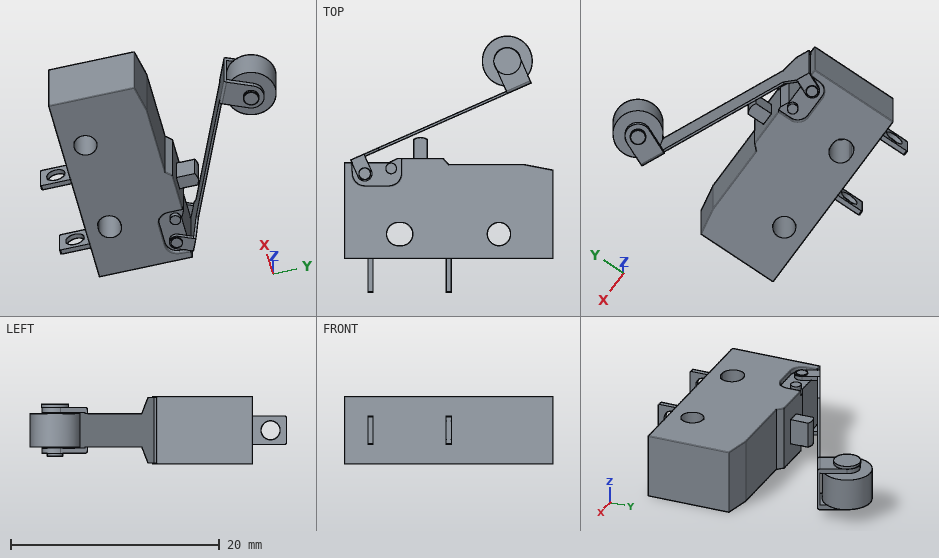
import cadquery as cq
import math

HOUSING_LENGTH = 19.99
HOUSING_DEPTH = 6.5
HOUSING_TOP_Z = HOUSING_DEPTH / 2
LEFT_SHOULDER_Y = 9.2
RAISED_Y = 9.6
RIGHT_SHOULDER_Y = 9.02
RIGHT_END_Y = 8.48
LEFT_RAMP_START_X = 4.28
RAISED_START_X = 5.1
RAISED_END_X = 9.45
RIGHT_RAMP_END_X = 10.0
RIGHT_SLOPE_START_X = 17.2
EDGE_RADIUS = 0.06

MOUNT_HOLE_DIAMETER = 2.21
MOUNT_SLOT_LENGTH = 2.5
MOUNT_HOLE_Y = 2.35
MOUNT_SLOT_X = 5.3
MOUNT_HOLE_SPACING = 9.5
MOUNT_HOLE_X = MOUNT_SLOT_X + MOUNT_HOLE_SPACING

RECESS_DEPTH = 0.5
RECESS_FLOOR_Z = HOUSING_TOP_Z - RECESS_DEPTH
RECESS_LEFT_TOP_X = 0.7
RECESS_LEFT_FLOOR_X = 0.85
RECESS_RIGHT_X = 5.47
RECESS_BOTTOM_Y = 6.97
RECESS_CORNER_RADIUS = 1.2
PIVOT_X = 1.95
PIVOT_Y = 8.13
PIVOT_POST_DIAMETER = 1.09
SPARE_POST_X = 4.48
SPARE_POST_Y = 8.63
SPARE_POST_DIAMETER = 1.02
POST_TOP_Z = HOUSING_TOP_Z

PLUNGER_X = 7.29
PLUNGER_WIDTH = 1.32
PLUNGER_DEPTH = 2.6
PLUNGER_TOP_Y = 11.6
PLUNGER_CROWN = 0.2
PLUNGER_ROOT_OVERLAP = 1.0
PLUNGER_ROOT_Y = RAISED_Y - PLUNGER_ROOT_OVERLAP

TERMINAL_XS = (2.5, 10.0)
TERMINAL_THICKNESS = 0.5
TERMINAL_WIDTH = 2.75
TERMINAL_LENGTH = 3.25
TERMINAL_CHAMFER = 0.12
TERMINAL_HOLE_DIAMETER = 1.8
TERMINAL_HOLE_Y = -1.72

ROLLER_X = 15.6
ROLLER_Y = 18.91
ROLLER_DIAMETER = 4.8
ROLLER_WIDTH = 3.2
RIVET_DIAMETER = 1.5
RIVET_HEAD_DIAMETER = 2.6
RIVET_HEAD_HEIGHT = 0.3
RIVET_TAIL_CHAMFER = 0.05

LEVER_ANGLE = 23.8
ARM_THICKNESS = 0.25
ARM_WIDTH = ROLLER_WIDTH
ARM_TOP = 1.75
ARM_BOTTOM = ARM_TOP - ARM_THICKNESS
HINGE_WIDTH = 6.3
HINGE_EAR_RADIUS = 0.7
HINGE_EAR_THICKNESS = 0.4
HINGE_HOLE_DIAMETER = 1.14
FLARE_END = 2.2
ROLLER_EAR_RADIUS = 1.25
ROLLER_EAR_THICKNESS = 0.5
ROLLER_EAR_GAP = 0.1
ROLLER_EAR_INNER_Z = ROLLER_WIDTH / 2 + ROLLER_EAR_GAP
ROLLER_EAR_OUTER_Z = ROLLER_EAR_INNER_Z + ROLLER_EAR_THICKNESS
BEND_RADIUS = 0.25


def cylinder(diameter, x, y, z_from, z_to):
    """Solid cylinder along Z between two heights."""
    disc = cq.Workplane("XY", origin=(x, y, z_from)).circle(diameter / 2)
    return disc.extrude(z_to - z_from)


def plate(outline, z_from, z_to):
    """Extrude a closed XY outline between two heights."""
    return outline.extrude(z_to - z_from).translate((0, 0, z_from))


def both_faces(shape):
    """The shape together with its mirror image about the XY mid plane."""
    return shape.union(shape.mirror("XY"))


def make_plunger():
    half_width = PLUNGER_WIDTH / 2
    shoulder_y = PLUNGER_TOP_Y - PLUNGER_CROWN
    outline = (
        cq.Workplane("XY")
        .moveTo(PLUNGER_X - half_width, PLUNGER_ROOT_Y)
        .lineTo(PLUNGER_X + half_width, PLUNGER_ROOT_Y)
        .lineTo(PLUNGER_X + half_width, shoulder_y)
        .threePointArc((PLUNGER_X, PLUNGER_TOP_Y), (PLUNGER_X - half_width, shoulder_y))
        .close()
    )
    return plate(outline, -PLUNGER_DEPTH / 2, PLUNGER_DEPTH / 2)


def make_recess():
    """Cutter for the hinge recess in the +Z face, open towards +Y."""
    open_y = RAISED_Y + RECESS_DEPTH
    outline = (
        cq.Workplane("XY")
        .moveTo(RECESS_LEFT_TOP_X, open_y)
        .lineTo(RECESS_LEFT_TOP_X, LEFT_SHOULDER_Y)
        .lineTo(RECESS_LEFT_FLOOR_X, RECESS_BOTTOM_Y)
        .lineTo(RECESS_RIGHT_X, RECESS_BOTTOM_Y)
        .lineTo(RECESS_RIGHT_X, open_y)
        .close()
    )
    cutter = plate(outline, RECESS_FLOOR_Z, HOUSING_TOP_Z)
    return cutter.edges("|Z and <Y").fillet(RECESS_CORNER_RADIUS)


def make_housing():
    outline = cq.Workplane("XY").polyline([
        (0, 0),
        (HOUSING_LENGTH, 0),
        (HOUSING_LENGTH, RIGHT_END_Y),
        (RIGHT_SLOPE_START_X, RIGHT_SHOULDER_Y),
        (RIGHT_RAMP_END_X, RIGHT_SHOULDER_Y),
        (RAISED_END_X, RAISED_Y),
        (RAISED_START_X, RAISED_Y),
        (LEFT_RAMP_START_X, LEFT_SHOULDER_Y),
        (0, LEFT_SHOULDER_Y),
    ]).close()
    body = plate(outline, -HOUSING_TOP_Z, HOUSING_TOP_Z)
    body = body.edges("|Z").edges("<X or >X").fillet(EDGE_RADIUS)
    body = body.cut(both_faces(make_recess()))
    body = body.faces("<Z or >Z").edges().fillet(EDGE_RADIUS)

    round_hole = cylinder(MOUNT_HOLE_DIAMETER, MOUNT_HOLE_X, MOUNT_HOLE_Y, -HOUSING_TOP_Z, HOUSING_TOP_Z)
    slot_outline = cq.Workplane("XY").center(MOUNT_SLOT_X, MOUNT_HOLE_Y)
    slot_outline = slot_outline.slot2D(MOUNT_SLOT_LENGTH, MOUNT_HOLE_DIAMETER)
    slot = plate(slot_outline, -HOUSING_TOP_Z, HOUSING_TOP_Z)

    pivot_post = cylinder(PIVOT_POST_DIAMETER, PIVOT_X, PIVOT_Y, RECESS_FLOOR_Z, POST_TOP_Z)
    spare_post = cylinder(SPARE_POST_DIAMETER, SPARE_POST_X, SPARE_POST_Y, RECESS_FLOOR_Z, POST_TOP_Z)
    posts = both_faces(pivot_post.union(spare_post))
    return body.cut(round_hole).cut(slot).union(posts).union(make_plunger())


def make_terminal(x):
    blade = (
        cq.Workplane("XY")
        .box(TERMINAL_THICKNESS, TERMINAL_LENGTH, TERMINAL_WIDTH)
        .translate((x, -TERMINAL_LENGTH / 2, 0))
        .edges("|X and <Y")
        .chamfer(TERMINAL_CHAMFER)
    )
    hole = (
        cq.Workplane("YZ", origin=(x, TERMINAL_HOLE_Y, 0))
        .circle(TERMINAL_HOLE_DIAMETER / 2)
        .extrude(TERMINAL_THICKNESS, both=True)
    )
    return blade.cut(hole)


def roller_in_lever_frame():
    """Roller axis measured along and across the arm, from the pivot."""
    angle = math.radians(LEVER_ANGLE)
    dx = ROLLER_X - PIVOT_X
    dy = ROLLER_Y - PIVOT_Y
    along = dx * math.cos(angle) + dy * math.sin(angle)
    across = dy * math.cos(angle) - dx * math.sin(angle)
    return along, across


def make_ear(centre, radius, base_y, z_from, z_to):
    """Round-ended tab between an arm face and the axis it carries."""
    x, y = centre
    tip_y = y + math.copysign(radius, y - base_y)
    outline = (
        cq.Workplane("XY")
        .moveTo(x - radius, base_y)
        .lineTo(x - radius, y)
        .threePointArc((x, tip_y), (x + radius, y))
        .lineTo(x + radius, base_y)
        .close()
    )
    return plate(outline, z_from, z_to)


def make_arm(end_x, roller_ear_start_x):
    """Flat strip: wide at the hinge, flaring to the narrow arm, wide again at the roller."""
    half_outline = [
        (-HINGE_EAR_RADIUS, HINGE_WIDTH / 2),
        (HINGE_EAR_RADIUS, HINGE_WIDTH / 2),
        (FLARE_END, ARM_WIDTH / 2),
        (roller_ear_start_x, ARM_WIDTH / 2),
        (roller_ear_start_x, ROLLER_EAR_OUTER_Z),
        (end_x, ROLLER_EAR_OUTER_Z),
    ]
    mirrored = [(x, -z) for x, z in reversed(half_outline)]
    strip = cq.Workplane("XZ", origin=(0, ARM_TOP, 0)).polyline(half_outline + mirrored).close()
    return strip.extrude(ARM_THICKNESS)


def make_lever():
    roller_axis = roller_in_lever_frame()
    ear_end_x = roller_axis[0] + ROLLER_EAR_RADIUS
    ear_start_x = roller_axis[0] - ROLLER_EAR_RADIUS
    hinge_ear = make_ear(
        (0, 0), HINGE_EAR_RADIUS, ARM_TOP, HINGE_WIDTH / 2 - HINGE_EAR_THICKNESS, HINGE_WIDTH / 2
    )
    roller_ear = make_ear(
        roller_axis, ROLLER_EAR_RADIUS, ARM_BOTTOM, ROLLER_EAR_INNER_Z, ROLLER_EAR_OUTER_Z
    )
    lever = make_arm(ear_end_x, ear_start_x).union(both_faces(hinge_ear)).union(both_faces(roller_ear))

    outer_bends = cq.selectors.BoxSelector(
        (ear_start_x - BEND_RADIUS, ARM_BOTTOM - BEND_RADIUS, -HINGE_WIDTH),
        (ear_end_x + BEND_RADIUS, ARM_BOTTOM + BEND_RADIUS / 2, HINGE_WIDTH),
    )
    lever = lever.edges(outer_bends).edges("|X").edges("<Z or >Z").fillet(BEND_RADIUS)

    hinge_hole = cylinder(HINGE_HOLE_DIAMETER, 0, 0, -HINGE_WIDTH, HINGE_WIDTH)
    rivet_hole = cylinder(RIVET_DIAMETER, *roller_axis, -HINGE_WIDTH, HINGE_WIDTH)
    lever = lever.cut(hinge_hole).cut(rivet_hole)
    return lever.rotate((0, 0, 0), (0, 0, 1), LEVER_ANGLE).translate((PIVOT_X, PIVOT_Y, 0))


def make_roller():
    wheel = cylinder(ROLLER_DIAMETER, ROLLER_X, ROLLER_Y, -ROLLER_WIDTH / 2, ROLLER_WIDTH / 2)
    bore = cylinder(RIVET_DIAMETER, ROLLER_X, ROLLER_Y, -ROLLER_WIDTH / 2, ROLLER_WIDTH / 2)
    return wheel.cut(bore)


def make_rivet():
    end_z = ROLLER_EAR_OUTER_Z + RIVET_HEAD_HEIGHT
    shank = cylinder(RIVET_DIAMETER, ROLLER_X, ROLLER_Y, -end_z, end_z)
    shank = shank.faces("<Z").chamfer(RIVET_TAIL_CHAMFER)
    head = cylinder(RIVET_HEAD_DIAMETER, ROLLER_X, ROLLER_Y, ROLLER_EAR_OUTER_Z, end_z)
    return shank.union(head)


housing = make_housing()
terminals = [make_terminal(x) for x in TERMINAL_XS]
lever = make_lever()
roller = make_roller()
rivet = make_rivet()

result = cq.Compound.makeCompound([
    housing.val(),
    *[terminal.val() for terminal in terminals],
    lever.val(),
    roller.val(),
    rivet.val(),
])